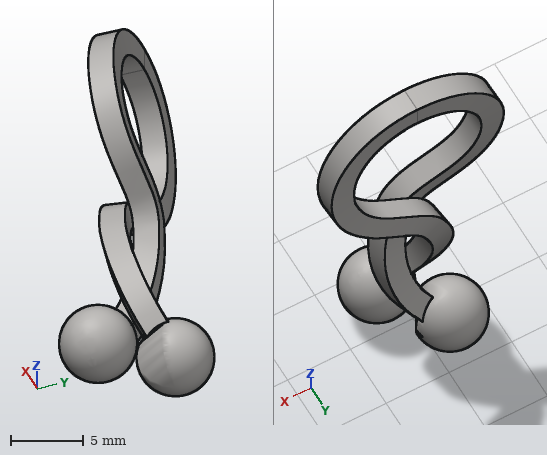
import cadquery as cq
import math

bar_size = 1.85
ring_outer_radius = 7.05
ring_radius = ring_outer_radius - bar_size / 2
ring_end_angle = 153
ring_end_depth = 0.93
ring_steps = 6

total_height = 29.18
ball_radius = 2.7
ball_offset_x = 1.63
ball_offset_y = 2.25
ball_center_y = 0.35
ball_z = ring_outer_radius - total_height + ball_radius

twist_points = [
    (-0.12, -1.08, -7.15),
    (1.3, -0.75, -9.92),
    (1.8, -0.05, -12.85),
    (1.35, 0.9, -15.9),
    (-0.15, 1.98, -18.38),
]
section_count = 20


def ring_point(angle):
    """Point on the left half of the ring, drifting towards -Y with the angle squared."""
    radians = math.radians(angle)
    depth = ring_end_depth * (angle / ring_end_angle) ** 2
    return (-ring_radius * math.sin(radians), -depth, ring_radius * math.cos(radians))


def make_strand():
    """Loft the square bar from the top of the ring through the twist."""
    ring_points = [ring_point(ring_end_angle * i / ring_steps) for i in range(ring_steps + 1)]
    half = ring_points + twist_points
    opposite_half = [(-x, -y, z) for x, y, z in reversed(half[1:])]
    centerline = cq.Edge.makeSpline([cq.Vector(*point) for point in opposite_half + half])
    sections = []
    side = cq.Vector(0, 1, 0)
    for i in range(section_count + 1):
        position = (1 + i / section_count) / 2
        direction = centerline.tangentAt(position)
        side = (side - direction * side.dot(direction)).normalized()
        plane = cq.Plane(centerline.positionAt(position), side, direction)
        sections.append(cq.Workplane(plane).rect(bar_size, bar_size).wires().val())
    return cq.Workplane(cq.Solid.makeLoft(sections))


def make_ball(side):
    """Ball at the back left (side = 1) or the front right (side = -1)."""
    center = (-side * ball_offset_x, ball_center_y + side * ball_offset_y, ball_z)
    return cq.Workplane("XY").sphere(ball_radius).translate(center)


strand = make_strand()
opposite_strand = strand.rotate((0, 0, 0), (0, 0, 1), 180)
result = strand.union(opposite_strand).union(make_ball(1)).union(make_ball(-1))